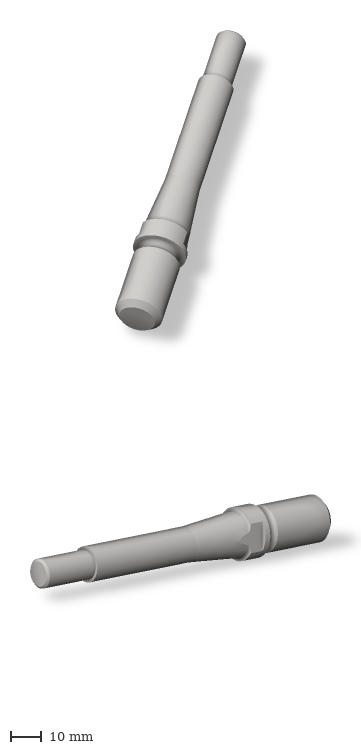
import cadquery as cq
import math


stud_dia = 16.0
stud_length = 24.0
stud_chamfer = 2.0

undercut_width = 4.0
undercut_floor_dia = 13.0
undercut_fillet = 1.0
undercut_flank_angle = math.radians(45.0)

collar_dia = 18.0
collar_length = 7.0
flat_setback = 2.0
across_flats = 15.0

taper_angle = math.radians(5.0)
taper_fillet = 1.0

shank_dia = 12.0
shank_rear_land = 12.0
shank_front_land = 30.0

tip_dia = 10.0
tip_length = 20.0
tip_end_land = 12.5
tip_chamfer = 0.75
total_length = 118.5

stud_radius = stud_dia / 2
undercut_floor_radius = undercut_floor_dia / 2
collar_radius = collar_dia / 2
shank_radius = shank_dia / 2
tip_radius = tip_dia / 2

undercut_floor_start = stud_length + (stud_radius - undercut_floor_radius) / math.tan(undercut_flank_angle)
collar_start = stud_length + undercut_width
flat_start = collar_start + flat_setback
collar_end = collar_start + collar_length
tip_start = total_length - tip_length
tip_land_start = total_length - tip_end_land
shank_land_start = tip_start - shank_front_land
shank_start = shank_land_start - shank_rear_land

taper_collar_radius = shank_radius + (shank_start - collar_end) * math.tan(taper_angle)


def line_to_rounded_corner(outline, before, corner, after, radius):
    """Draw a line towards corner, then round it with an arc of the given radius towards after."""
    corner_point = cq.Vector(*corner)
    back = (cq.Vector(*before) - corner_point).normalized()
    ahead = (cq.Vector(*after) - corner_point).normalized()
    half_angle = back.getAngle(ahead) / 2
    tangent_length = radius / math.tan(half_angle)
    middle_distance = radius / math.sin(half_angle) - radius
    arc_start = corner_point + back * tangent_length
    arc_middle = corner_point + (back + ahead).normalized() * middle_distance
    arc_end = corner_point + ahead * tangent_length
    return outline.lineTo(arc_start.x, arc_start.y).threePointArc(arc_middle.toTuple(), arc_end.toTuple())


def stud_outline():
    """Half outline of the threaded end, from the axis to the edge of the undercut."""
    return (
        cq.Workplane("XY")
        .lineTo(stud_radius - stud_chamfer, 0)
        .lineTo(stud_radius, stud_chamfer)
        .lineTo(stud_radius, stud_length)
    )


def add_undercut_and_collar(outline):
    """Continue the outline through the undercut, the collar and the taper."""
    stud_edge = (stud_radius, stud_length)
    flank_foot = (undercut_floor_radius, undercut_floor_start)
    floor_end = (undercut_floor_radius, collar_start)
    collar_rear_edge = (collar_radius, collar_start)
    collar_front_edge = (collar_radius, collar_end)
    taper_root = (taper_collar_radius, collar_end)
    taper_tip = (shank_radius, shank_start)

    outline = line_to_rounded_corner(outline, stud_edge, flank_foot, floor_end, undercut_fillet)
    outline = line_to_rounded_corner(outline, flank_foot, floor_end, collar_rear_edge, undercut_fillet)
    outline = outline.lineTo(*collar_rear_edge).lineTo(*collar_front_edge)
    outline = line_to_rounded_corner(outline, collar_front_edge, taper_root, taper_tip, taper_fillet)
    return outline.lineTo(*taper_tip)


def add_shank_and_tip(outline):
    """Continue the outline along the lands of the shank and tip, back to the axis."""
    return (
        outline
        .lineTo(shank_radius, shank_land_start)
        .lineTo(shank_radius, tip_start)
        .lineTo(tip_radius, tip_start)
        .lineTo(tip_radius, tip_land_start)
        .lineTo(tip_radius, total_length - tip_chamfer)
        .lineTo(tip_radius - tip_chamfer, total_length)
        .lineTo(0, total_length)
        .close()
    )


def turned_body():
    outline = add_shank_and_tip(add_undercut_and_collar(stud_outline()))
    return outline.revolve(360, (0, 0, 0), (0, 1, 0), clean=False)


def cut_wrench_flats(body):
    """Cut a flat on the -X and +X sides of the collar, running out on the taper."""
    cutter_length = shank_start - flat_start
    cutter = cq.Workplane("XY").box(collar_dia, cutter_length, collar_dia)
    cutter_x = (across_flats + collar_dia) / 2
    cutter_y = flat_start + cutter_length / 2
    for side in (-1, 1):
        body = body.cut(cutter.translate((side * cutter_x, cutter_y, 0)), clean=False)
    return body


result = cut_wrench_flats(turned_body())